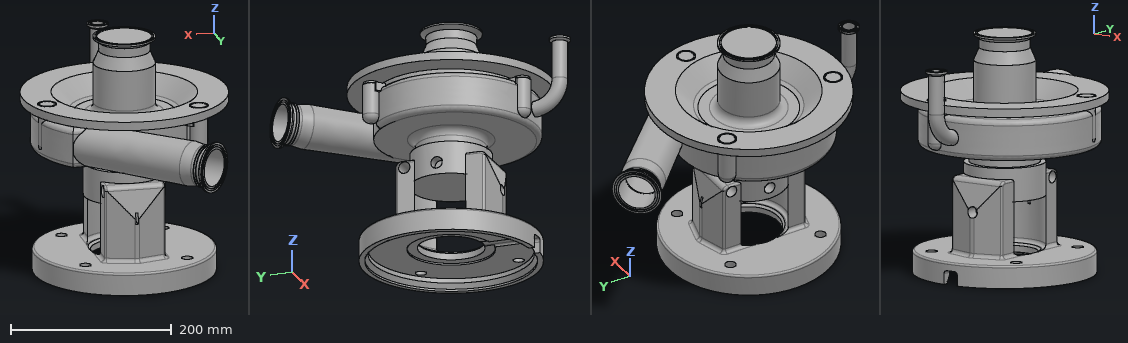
import math

import cadquery as cq

GASKET_GROOVE_DEPTH = 1.0

BASE_RADIUS = 115.0
BASE_HEIGHT = 29.0
BASE_RIM_FILLET = 2.5
BASE_BORE_RADIUS = 42.0
BASE_BORE_CHAMFER = 3.0
REGISTER_RADIUS = 55.0
REGISTER_TOP = 17.5
RECESS_RADIUS = 103.5
RECESS_DEPTH = 15.3
RECESS_MOUTH_RADIUS = 107.5
RECESS_BEVEL_TOP = 9.4
RECESS_BEVEL_BOTTOM = 2.7
BASE_HOLE_RADIUS = 7.0
BASE_HOLE_CIRCLE_RADIUS = 92.0
BASE_HOLE_COUNT = 4
BASE_HOLE_FIRST_ANGLE = 45.0
NOTCH_WIDTH = 20.0
NOTCH_HEIGHT = 18.0
NOTCH_CORNER_RADIUS = 4.0

LEG_HALF_WIDTH = 38.7
LEG_CORNER_Y = 59.0
LEG_RIDGE_Y = 69.3
LEG_RIDGE_HALF_WIDTH = 2.9
LEG_TOP = 126.5
LEG_SHOULDER_Y = 58.3
LEG_CORNER_FILLET = 3.0
LEG_SHOULDER_FILLET = 8.0
LEG_ROOT_FILLET = 5.0
SELECTION_MARGIN = 0.5
LEG_HOLE_RADIUS = 7.0
LEG_HOLE_Z = 85.5
LEG_SLOT_WIDTH = 3.2
CROSS_HOLE_RADIUS = 7.5
CROSS_HOLE_Y = 47.8
CROSS_HOLE_Z = 117.2

COLLAR_RADIUS = 51.5
COLLAR_BOTTOM = 98.0
COLLAR_TOP = 140.5
COLLAR_HOLE_RADIUS = 7.5
COLLAR_HOLE_DEPTH = 15.0
COLLAR_HOLE_Z = 113.5
NECK_RADIUS = 44.5
NECK_FILLET = 10.0

CASING_BOTTOM = 161.0
CASING_TOP = 213.0
CASING_FILLET = 7.0
SPIRAL_RADIUS_AT_ZERO = 118.0
SPIRAL_GROWTH = 25.4
SPIRAL_START_ANGLE = -225.0
SPIRAL_END_ANGLE = 45.0
SPIRAL_STEPS = 18
CASING_RING_RADIUS = 96.5
CASING_OPENING_RADIUS = 90.0
FLOW_AXIS_Z = 187.0

FLANGE_RADIUS = 130.0
FLANGE_BOTTOM = 219.6
FLANGE_TOP = 230.4
DISH_RIM_RADIUS = 91.3
DISH_FLOOR_Z = 205.0
DISH_LOWER_RADIUS = 68.7
DISH_FLOOR_RADIUS = 63.3
DISH_LOWER_Z = 208.0

BOLT_CIRCLE_RADIUS = 109.0
BOLT_FIRST_ANGLE = 15.0
BOLT_COUNT = 3
BOLT_BOSS_RADIUS = 11.0
BOLT_BOSS_BOTTOM = 167.0
BOLT_BOSS_TOP = 216.8
BOLT_NECK_RADIUS = 9.8
BOLT_PAD_WIDTH = 28.0
BOLT_BOSS_FILLET = 9.5
BOLT_GROOVE_INNER = 10.2
BOLT_GROOVE_OUTER = 11.8
BOLT_GROOVE_DEPTH = 1.5

INLET_TOP = 303.0
INLET_RADIUS = 39.0
INLET_FOOT_WIDTH = 10.0
INLET_FOOT_HEIGHT = 12.0
INLET_SHOULDER_Z = 268.5
INLET_NECK_Z = 284.5
INLET_NECK_RADIUS = 32.0
INLET_RIM_THICKNESS = 2.5
INLET_FERRULE_HEIGHT = 7.0
INLET_GROOVE_INNER = 34.5
INLET_GROOVE_OUTER = 36.5

OUTLET_ANGLE = 135.0
OUTLET_OFFSET = 95.1
OUTLET_LENGTH = 190.3
OUTLET_RADIUS = 28.5
OUTLET_ROOT_RADIUS = 26.5
OUTLET_NECK_RADIUS = 26.0
OUTLET_BEAD_RADIUS = 27.3
OUTLET_RIM_RADIUS = 32.0
OUTLET_BORE_RADIUS = 23.6
OUTLET_INNER_BORE_RADIUS = 25.0
OUTLET_RIM_THICKNESS = 2.5
OUTLET_FERRULE_LENGTH = 6.9
OUTLET_BEAD_START = 10.7
OUTLET_BEAD_END = 14.0
OUTLET_REDUCER_START = 18.4
OUTLET_REDUCER_END = 33.4
OUTLET_GROOVE_INNER = 26.5
OUTLET_GROOVE_OUTER = 29.0

DRAIN_RADIUS = 10.0
DRAIN_BORE_RADIUS = 8.0
DRAIN_BEND_RADIUS = 35.0
DRAIN_Y = -144.7
DRAIN_TOP = 276.5
DRAIN_RIM_RADIUS = 13.4
DRAIN_RIM_THICKNESS = 3.0
DRAIN_FERRULE_HEIGHT = 5.5
DRAIN_GROOVE_INNER = 9.5
DRAIN_GROOVE_OUTER = 11.5
DRAIN_ROOT_Y = -90.0


def cylinder(radius, bottom, top, x=0.0):
    return cq.Workplane("XY", origin=(x, 0, bottom)).circle(radius).extrude(top - bottom)


def bolt_points(radius, count, first_angle):
    angles = [math.radians(first_angle + 360.0 * i / count) for i in range(count)]
    return [(radius * math.cos(a), radius * math.sin(a)) for a in angles]


def gasket_groove(mouth, inner_radius, outer_radius):
    """Ring cutter sunk into a ferrule face; the mouth plane's normal points outward."""
    return cq.Workplane(mouth).circle(outer_radius).circle(inner_radius).extrude(-GASKET_GROOVE_DEPTH)


def make_base():
    return cylinder(BASE_RADIUS, 0, BASE_HEIGHT).faces(">Z").edges().fillet(BASE_RIM_FILLET)


def make_legs():
    """Pair of pointed columns, each ridge facing outward along Y."""
    legs = (
        cq.Workplane("XY", origin=(0, 0, BASE_HEIGHT))
        .moveTo(-LEG_HALF_WIDTH, -LEG_CORNER_Y)
        .lineTo(-LEG_RIDGE_HALF_WIDTH, -LEG_RIDGE_Y)
        .lineTo(LEG_RIDGE_HALF_WIDTH, -LEG_RIDGE_Y)
        .lineTo(LEG_HALF_WIDTH, -LEG_CORNER_Y)
        .lineTo(LEG_HALF_WIDTH, LEG_CORNER_Y)
        .lineTo(LEG_RIDGE_HALF_WIDTH, LEG_RIDGE_Y)
        .lineTo(-LEG_RIDGE_HALF_WIDTH, LEG_RIDGE_Y)
        .lineTo(-LEG_HALF_WIDTH, LEG_CORNER_Y)
        .close()
        .extrude(LEG_TOP - BASE_HEIGHT)
    )
    slope_envelope = (
        cq.Workplane("YZ", origin=(-LEG_HALF_WIDTH, 0, 0))
        .moveTo(-LEG_RIDGE_Y, BASE_HEIGHT)
        .lineTo(-LEG_RIDGE_Y, LEG_HOLE_Z)
        .lineTo(-LEG_SHOULDER_Y, LEG_TOP)
        .lineTo(LEG_SHOULDER_Y, LEG_TOP)
        .lineTo(LEG_RIDGE_Y, LEG_HOLE_Z)
        .lineTo(LEG_RIDGE_Y, BASE_HEIGHT)
        .close()
        .extrude(2 * LEG_HALF_WIDTH)
    )
    legs = legs.intersect(slope_envelope)
    legs = legs.faces(">Z").edges("|X").fillet(LEG_SHOULDER_FILLET)
    legs = legs.faces("<X or >X").edges("not (#Z and |Y)").fillet(LEG_CORNER_FILLET)
    return legs.cut(cylinder(COLLAR_RADIUS, BASE_HEIGHT, LEG_TOP))


def make_stand():
    """Base and legs with a blended root."""
    stand = make_base().union(make_legs())
    reach_x = LEG_HALF_WIDTH + SELECTION_MARGIN
    reach_y = LEG_RIDGE_Y + SELECTION_MARGIN
    root = cq.selectors.BoxSelector(
        (-reach_x, -reach_y, BASE_HEIGHT - SELECTION_MARGIN),
        (reach_x, reach_y, BASE_HEIGHT + SELECTION_MARGIN),
        boundingbox=True,
    )
    return stand.edges(root).fillet(LEG_ROOT_FILLET)


def cut_base(part):
    """Open the bore, stepped underside recess, bolt holes and front notch."""
    bore = (
        cq.Workplane("XZ")
        .lineTo(BASE_BORE_RADIUS, 0)
        .lineTo(BASE_BORE_RADIUS, BASE_HEIGHT - BASE_BORE_CHAMFER)
        .lineTo(BASE_BORE_RADIUS + BASE_BORE_CHAMFER, BASE_HEIGHT)
        .lineTo(0, BASE_HEIGHT)
        .close()
        .revolve(360, (0, 0), (0, 1))
    )
    register = cylinder(REGISTER_RADIUS, 0, REGISTER_TOP)
    recess = (
        cq.Workplane("XZ")
        .lineTo(RECESS_MOUTH_RADIUS, 0)
        .lineTo(RECESS_MOUTH_RADIUS, RECESS_BEVEL_BOTTOM)
        .lineTo(RECESS_RADIUS, RECESS_BEVEL_TOP)
        .lineTo(RECESS_RADIUS, RECESS_DEPTH)
        .lineTo(0, RECESS_DEPTH)
        .close()
        .revolve(360, (0, 0), (0, 1))
    )
    holes = (
        cq.Workplane("XY")
        .pushPoints(bolt_points(BASE_HOLE_CIRCLE_RADIUS, BASE_HOLE_COUNT, BASE_HOLE_FIRST_ANGLE))
        .circle(BASE_HOLE_RADIUS)
        .extrude(BASE_HEIGHT)
    )
    notch = (
        cq.Workplane("XZ")
        .rect(NOTCH_WIDTH, 2 * NOTCH_HEIGHT)
        .extrude(BASE_RADIUS)
        .edges("|Y")
        .fillet(NOTCH_CORNER_RADIUS)
    )
    return part.cut(bore).cut(register).cut(recess).cut(holes).cut(notch)


def make_axial_body():
    """Collar, neck, casing core, dished cover and inlet turned about Z."""
    ferrule_bottom = INLET_TOP - INLET_FERRULE_HEIGHT
    foot_radius = INLET_RADIUS + INLET_FOOT_WIDTH
    foot_top = DISH_FLOOR_Z + INLET_FOOT_HEIGHT
    diagonal = 1 - math.sqrt(0.5)
    profile = (
        cq.Workplane("XZ")
        .moveTo(0, COLLAR_BOTTOM)
        .lineTo(COLLAR_RADIUS, COLLAR_BOTTOM)
        .lineTo(COLLAR_RADIUS, COLLAR_TOP)
        .lineTo(NECK_RADIUS, COLLAR_TOP)
        .lineTo(NECK_RADIUS, CASING_BOTTOM - NECK_FILLET)
        .radiusArc((NECK_RADIUS + NECK_FILLET, CASING_BOTTOM), NECK_FILLET)
        .lineTo(CASING_RING_RADIUS, CASING_BOTTOM)
        .lineTo(CASING_RING_RADIUS, FLANGE_BOTTOM)
        .lineTo(FLANGE_RADIUS, FLANGE_BOTTOM)
        .lineTo(FLANGE_RADIUS, FLANGE_TOP)
        .lineTo(DISH_RIM_RADIUS, FLANGE_TOP)
        .lineTo(DISH_LOWER_RADIUS, DISH_LOWER_Z)
        .lineTo(DISH_FLOOR_RADIUS, DISH_FLOOR_Z)
        .lineTo(foot_radius, DISH_FLOOR_Z)
        .threePointArc(
            (INLET_RADIUS + diagonal * INLET_FOOT_WIDTH, DISH_FLOOR_Z + diagonal * INLET_FOOT_HEIGHT),
            (INLET_RADIUS, foot_top),
        )
        .lineTo(INLET_RADIUS, INLET_SHOULDER_Z)
        .lineTo(INLET_NECK_RADIUS, INLET_NECK_Z)
        .lineTo(INLET_NECK_RADIUS, ferrule_bottom)
        .lineTo(INLET_RADIUS, INLET_TOP - INLET_RIM_THICKNESS)
        .lineTo(INLET_RADIUS, INLET_TOP)
        .lineTo(0, INLET_TOP)
        .close()
    )
    body = profile.revolve(360, (0, 0), (0, 1))
    mouth = cq.Plane(origin=(0, 0, INLET_TOP))
    return body.cut(gasket_groove(mouth, INLET_GROOVE_INNER, INLET_GROOVE_OUTER))


def spiral_point(angle):
    radius = SPIRAL_RADIUS_AT_ZERO + SPIRAL_GROWTH * angle / 360.0
    return (radius * math.cos(math.radians(angle)), radius * math.sin(math.radians(angle)))


def make_casing():
    """Spiral ring around the core; its centre stays open for the dish."""
    step = (SPIRAL_END_ANGLE - SPIRAL_START_ANGLE) / SPIRAL_STEPS
    points = [spiral_point(SPIRAL_START_ANGLE + i * step) for i in range(SPIRAL_STEPS + 1)]
    spiral = (
        cq.Workplane("XY", origin=(0, 0, CASING_BOTTOM))
        .moveTo(*points[0])
        .spline(points[1:], includeCurrent=True)
        .close()
        .extrude(CASING_TOP - CASING_BOTTOM)
        .faces("|Z")
        .edges()
        .fillet(CASING_FILLET)
    )
    return spiral.cut(cylinder(CASING_OPENING_RADIUS, CASING_BOTTOM, CASING_TOP))


def make_bolt_bosses():
    """Round-ended bosses, each with a narrower neck and a pad tying it to the casing."""
    boss = cylinder(BOLT_BOSS_RADIUS, BOLT_BOSS_BOTTOM, BOLT_BOSS_TOP, BOLT_CIRCLE_RADIUS)
    boss = boss.faces("<Z").edges().fillet(BOLT_BOSS_FILLET)
    neck = cylinder(BOLT_NECK_RADIUS, BOLT_BOSS_TOP, FLANGE_BOTTOM, BOLT_CIRCLE_RADIUS)
    pad_bottom = CASING_TOP - CASING_FILLET
    pad_length = BOLT_CIRCLE_RADIUS - CASING_OPENING_RADIUS
    pad = (
        cq.Workplane("XY", origin=(CASING_OPENING_RADIUS, 0, pad_bottom))
        .rect(2 * pad_length, BOLT_PAD_WIDTH)
        .extrude(BOLT_BOSS_TOP - pad_bottom)
    )
    pad = pad.cut(cylinder(CASING_OPENING_RADIUS, pad_bottom, BOLT_BOSS_TOP))
    unit = boss.union(neck).union(pad).rotate((0, 0, 0), (0, 0, 1), BOLT_FIRST_ANGLE)
    bosses = unit
    for i in range(1, BOLT_COUNT):
        bosses = bosses.add(unit.rotate((0, 0, 0), (0, 0, 1), 360.0 * i / BOLT_COUNT))
    return bosses.combine()


def make_bolt_grooves():
    """Ring gaps around the bolt heads in the flange top."""
    points = bolt_points(BOLT_CIRCLE_RADIUS, BOLT_COUNT, BOLT_FIRST_ANGLE)
    plane = cq.Workplane("XY", origin=(0, 0, FLANGE_TOP - BOLT_GROOVE_DEPTH)).pushPoints(points)
    heads = plane.circle(BOLT_GROOVE_INNER).extrude(BOLT_GROOVE_DEPTH)
    return plane.circle(BOLT_GROOVE_OUTER).extrude(BOLT_GROOVE_DEPTH).cut(heads)


def outlet_plane():
    """Plane through the outlet axis: local x is radius, local y runs along the flow."""
    flow = math.radians(OUTLET_ANGLE)
    foot = math.radians(OUTLET_ANGLE - 90.0)
    origin = (OUTLET_OFFSET * math.cos(foot), OUTLET_OFFSET * math.sin(foot), FLOW_AXIS_Z)
    normal = (-math.cos(foot), -math.sin(foot), 0)
    along = cq.Vector(math.cos(flow), math.sin(flow), 0)
    x_direction = along.cross(cq.Vector(*normal))
    return cq.Plane(origin=origin, xDir=x_direction.toTuple(), normal=normal)


def make_outlet():
    """Slightly flared pipe with a reducer, a weld bead and a clamp ferrule at its mouth."""
    end = OUTLET_LENGTH
    pipe = (
        cq.Workplane(outlet_plane())
        .lineTo(OUTLET_ROOT_RADIUS, 0)
        .lineTo(OUTLET_RADIUS, end - OUTLET_REDUCER_END)
        .lineTo(OUTLET_NECK_RADIUS, end - OUTLET_REDUCER_START)
        .lineTo(OUTLET_NECK_RADIUS, end - OUTLET_BEAD_END)
        .lineTo(OUTLET_BEAD_RADIUS, end - OUTLET_BEAD_END)
        .lineTo(OUTLET_BEAD_RADIUS, end - OUTLET_BEAD_START)
        .lineTo(OUTLET_NECK_RADIUS, end - OUTLET_BEAD_START)
        .lineTo(OUTLET_NECK_RADIUS, end - OUTLET_FERRULE_LENGTH)
        .lineTo(OUTLET_RIM_RADIUS, end - OUTLET_RIM_THICKNESS)
        .lineTo(OUTLET_RIM_RADIUS, end)
        .lineTo(0, end)
        .close()
        .revolve(360, (0, 0), (0, 1))
    )
    flow = math.radians(OUTLET_ANGLE)
    direction = (math.cos(flow), math.sin(flow), 0)
    mouth = cq.Plane(origin=outlet_plane().toWorldCoords((0, end)), normal=direction)
    return pipe.cut(gasket_groove(mouth, OUTLET_GROOVE_INNER, OUTLET_GROOVE_OUTER))


def make_outlet_bore():
    """Bore that widens behind the reducer and stops inside the casing."""
    widening = OUTLET_LENGTH - OUTLET_REDUCER_END
    return (
        cq.Workplane(outlet_plane())
        .lineTo(OUTLET_INNER_BORE_RADIUS, 0)
        .lineTo(OUTLET_INNER_BORE_RADIUS, widening)
        .lineTo(OUTLET_BORE_RADIUS, widening)
        .lineTo(OUTLET_BORE_RADIUS, OUTLET_LENGTH)
        .lineTo(0, OUTLET_LENGTH)
        .close()
        .revolve(360, (0, 0), (0, 1))
    )


def drain_tube(radius):
    path = (
        cq.Workplane("YZ")
        .moveTo(DRAIN_ROOT_Y, FLOW_AXIS_Z)
        .lineTo(DRAIN_Y + DRAIN_BEND_RADIUS, FLOW_AXIS_Z)
        .radiusArc((DRAIN_Y, FLOW_AXIS_Z + DRAIN_BEND_RADIUS), DRAIN_BEND_RADIUS)
        .lineTo(DRAIN_Y, DRAIN_TOP)
    )
    return cq.Workplane("XZ", origin=(0, DRAIN_ROOT_Y, FLOW_AXIS_Z)).circle(radius).sweep(path)


def make_drain_ferrule():
    return (
        cq.Workplane("XZ", origin=(0, DRAIN_Y, DRAIN_TOP))
        .lineTo(DRAIN_RIM_RADIUS, 0)
        .lineTo(DRAIN_RIM_RADIUS, -DRAIN_RIM_THICKNESS)
        .lineTo(DRAIN_RADIUS, -DRAIN_FERRULE_HEIGHT)
        .lineTo(0, -DRAIN_FERRULE_HEIGHT)
        .close()
        .revolve(360, (0, 0), (0, 1))
    )


def cut_leg_holes(part):
    front_hole = cq.Workplane("XZ").center(0, LEG_HOLE_Z).circle(LEG_HOLE_RADIUS).extrude(LEG_RIDGE_Y)
    rear_slot = (
        cq.Workplane("XZ")
        .center(0, LEG_HOLE_Z)
        .rect(LEG_SLOT_WIDTH, 2 * LEG_HOLE_RADIUS)
        .extrude(-LEG_RIDGE_Y)
    )
    cross_hole = (
        cq.Workplane("YZ")
        .center(CROSS_HOLE_Y, CROSS_HOLE_Z)
        .circle(CROSS_HOLE_RADIUS)
        .extrude(LEG_HALF_WIDTH, both=True)
    )
    collar_hole = (
        cq.Workplane("YZ", origin=(-COLLAR_RADIUS, 0, COLLAR_HOLE_Z))
        .circle(COLLAR_HOLE_RADIUS)
        .extrude(COLLAR_HOLE_DEPTH)
    )
    return part.cut(front_hole).cut(rear_slot).cut(cross_hole).cut(collar_hole)


pump = make_axial_body().union(make_casing()).union(make_bolt_bosses()).union(make_outlet())
pump = pump.union(drain_tube(DRAIN_RADIUS)).union(make_drain_ferrule())
drain_mouth = cq.Plane(origin=(0, DRAIN_Y, DRAIN_TOP))
pump = pump.cut(gasket_groove(drain_mouth, DRAIN_GROOVE_INNER, DRAIN_GROOVE_OUTER))
pump = pump.cut(make_outlet_bore()).cut(drain_tube(DRAIN_BORE_RADIUS)).cut(make_bolt_grooves())

result = cut_leg_holes(cut_base(make_stand()).union(pump))